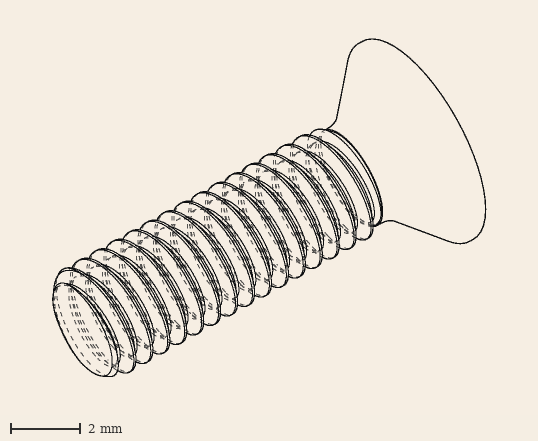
import cadquery as cq
import math

length = 12.0
head_radius = 3.25
rim_height = 0.23
rim_fillet = 0.08
head_angle = 45
neck_radius = 1.56
neck_fillet = 0.96
thread_start = 2.46
major_radius = 1.75
pitch = 0.6
end_radius = 1.51
neck_bevel = 0.3
tip_bevel = 0.41
dimple_radius = 1.44
dimple_depth = 0.06

crest_width = pitch / 8
root_width = pitch / 6
flank_slope = math.tan(math.radians(30))
thread_depth = (pitch - crest_width - root_width) / 2 / flank_slope
minor_radius = major_radius - thread_depth

groove_start = 2.08
overcut = 0.05
groove_turns = math.ceil((length - groove_start) / pitch)


def make_blank():
    """Revolve the unthreaded screw around the Y axis and round the head rim."""
    blend = math.radians(head_angle)
    cone_end_radius = neck_radius + neck_fillet * (1 - math.cos(blend))
    cone_end = rim_height + (head_radius - cone_end_radius) / math.tan(blend)
    neck_start = cone_end + neck_fillet * math.sin(blend)
    blend_middle = (
        neck_radius + neck_fillet * (1 - math.cos(blend / 2)),
        -(neck_start - neck_fillet * math.sin(blend / 2)),
    )
    blank = (
        cq.Workplane("XY")
        .lineTo(head_radius, 0)
        .lineTo(head_radius, -rim_height)
        .lineTo(cone_end_radius, -cone_end)
        .threePointArc(blend_middle, (neck_radius, -neck_start))
        .lineTo(neck_radius, -thread_start)
        .lineTo(end_radius, -thread_start)
        .lineTo(major_radius, -(thread_start + neck_bevel))
        .lineTo(major_radius, -(length - tip_bevel))
        .lineTo(end_radius, -length)
        .lineTo(dimple_radius, -length)
        .lineTo(0, -(length - dimple_depth))
        .close()
        .revolve(360, (0, 0, 0), (0, 1, 0))
    )
    rim_zone = cq.selectors.BoxSelector(
        (-head_radius, -2 * rim_height, -head_radius),
        (head_radius, rim_height, head_radius),
    )
    return blank.edges("%CIRCLE").edges(rim_zone).fillet(rim_fillet)


def make_groove_turn():
    """Sweep one right-handed turn of the thread groove, starting on the +X side."""
    outer_radius = major_radius + overcut
    half_root = root_width / 2
    half_mouth = half_root + (outer_radius - minor_radius) * flank_slope
    helix = cq.Wire.makeHelix(pitch, pitch, minor_radius)
    turn = (
        cq.Workplane("XZ")
        .moveTo(minor_radius, -half_root)
        .lineTo(outer_radius, -half_mouth)
        .lineTo(outer_radius, half_mouth)
        .lineTo(minor_radius, half_root)
        .close()
        .sweep(cq.Workplane(helix), isFrenet=True)
    )
    return turn.rotate((0, 0, 0), (1, 0, 0), 90).translate((0, -groove_start, 0))


def cut_thread(blank):
    """Cut the groove turn by turn, keeping every turn clear of the neck."""
    groove_turn = make_groove_turn()
    threaded_zone = (
        cq.Workplane("XZ", origin=(0, -thread_start, 0))
        .circle(2 * major_radius)
        .extrude(length)
    )
    screw = blank
    for turn in range(groove_turns):
        cutter = groove_turn.translate((0, -turn * pitch, 0))
        screw = screw.cut(cutter.intersect(threaded_zone), clean=False)
    return screw.solids()


result = cut_thread(make_blank())